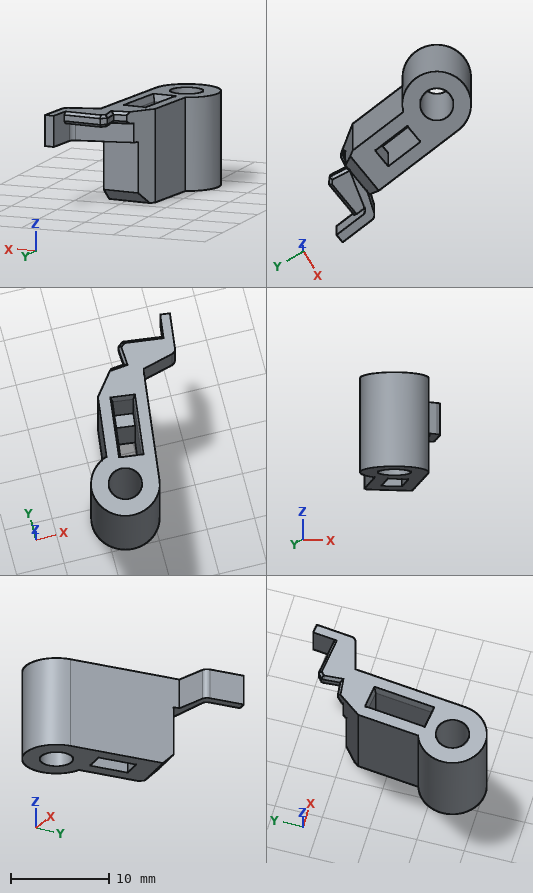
import cadquery as cq
import math

LENGTH = 20.5
HEIGHT = 9.75
ARM_TILT = 6.5

BARREL_RADIUS = 3.5
BORE_RADIUS = 1.7

ARM_WIDTH = 5.0
ARM_RIGHT = BARREL_RADIUS
ARM_LEFT = ARM_RIGHT - ARM_WIDTH
ARM_END = 11.53
END_CHAMFER = 1.2
SHOULDER_START = 9.76
SHOULDER_TIP = (0.27, 12.72)

FINGER_HEIGHT = 3.25
FINGER_WIDTH = 1.0
FINGER_RIGHT = 7.0
FINGER_LEFT = FINGER_RIGHT - FINGER_WIDTH
TILT = math.radians(ARM_TILT)
FINGER_TIP = (LENGTH - BARREL_RADIUS + FINGER_LEFT * math.sin(TILT)) / math.cos(TILT)
CRANK_ROOT = 12.15
CRANK_OUTER_CORNER = 13.52
CRANK_INNER_CORNER = 13.93
CRANK_INNER_ROOT_X = -0.18
CRANK_OUTER_FILLET = 0.7
CRANK_INNER_FILLET = 0.55

HOOK_HEIGHT = 1.25
HOOK_CHAMFER = 0.3
HOOK_NOTCH = (1.6, 13.02)
HOOK_SIDE_BEND = (1.3, 14.69)
HOOK_NOSE_SIDE = (1.3, 14.95)
HOOK_NOSE_X = 1.83
HOOK_END = 15.49

SLOT_WIDTH = 2.55
SLOT_START = 2.93
SLOT_LENGTH = 6.58
SLOT_LIP = 0.2
SLOT_LIP_DEPTH = 0.74
SLOT_FLOOR_DEPTH = HEIGHT / 2
WINDOW_START = 3.77
WINDOW_LENGTH = 4.18

SHOULDER_SLOPE = (SHOULDER_TIP[1] - SHOULDER_START) / (SHOULDER_TIP[0] - ARM_LEFT)


def shoulder_point(x=None, y=None):
    """Point on the slanted left shoulder at a given x or y."""
    if x is None:
        return (ARM_LEFT + (y - SHOULDER_START) / SHOULDER_SLOPE, y)
    return (x, SHOULDER_START + (x - ARM_LEFT) * SHOULDER_SLOPE)


def make_arm():
    outline = [
        (ARM_LEFT, 0),
        (ARM_RIGHT, 0),
        (ARM_RIGHT, ARM_END),
        shoulder_point(y=ARM_END),
        (ARM_LEFT, SHOULDER_START),
    ]
    arm = cq.Workplane("XY").polyline(outline).close().extrude(HEIGHT)
    arm = arm.faces(">Y").edges("<Z").chamfer(END_CHAMFER)
    return arm.union(cq.Workplane("XY").circle(BARREL_RADIUS).extrude(HEIGHT))


def make_finger():
    outer_corner = (FINGER_RIGHT, CRANK_OUTER_CORNER)
    inner_corner = (FINGER_LEFT, CRANK_INNER_CORNER)
    outline = [
        (ARM_LEFT, SHOULDER_START),
        (ARM_RIGHT, SHOULDER_START),
        (ARM_RIGHT, CRANK_ROOT),
        outer_corner,
        (FINGER_RIGHT, FINGER_TIP),
        (FINGER_LEFT, FINGER_TIP),
        inner_corner,
        shoulder_point(x=CRANK_INNER_ROOT_X),
    ]
    base = cq.Workplane("XY").workplane(offset=HEIGHT - FINGER_HEIGHT)
    finger = base.polyline(outline).close().extrude(FINGER_HEIGHT)
    for corner, radius in ((outer_corner, CRANK_OUTER_FILLET), (inner_corner, CRANK_INNER_FILLET)):
        point = (corner[0], corner[1], HEIGHT - FINGER_HEIGHT / 2)
        finger = finger.edges(cq.selectors.NearestToPointSelector(point)).fillet(radius)
    return finger


def make_hook():
    free_rim = [
        SHOULDER_TIP,
        HOOK_NOTCH,
        HOOK_SIDE_BEND,
        HOOK_NOSE_SIDE,
        (HOOK_NOSE_X, HOOK_END),
        (FINGER_LEFT + FINGER_WIDTH / 2, HOOK_END),
    ]
    buried_rim = [
        (FINGER_LEFT + FINGER_WIDTH / 2, CRANK_INNER_CORNER),
        (ARM_RIGHT, CRANK_ROOT),
        shoulder_point(x=CRANK_INNER_ROOT_X),
    ]
    base = cq.Workplane("XY").workplane(offset=HEIGHT - HOOK_HEIGHT)
    hook = base.polyline(free_rim + buried_rim).close().extrude(HOOK_HEIGHT)
    rim_edges = hook.newObject([])
    for start, end in zip(free_rim, free_rim[1:]):
        for z in (HEIGHT - HOOK_HEIGHT, HEIGHT):
            middle = ((start[0] + end[0]) / 2, (start[1] + end[1]) / 2, z)
            rim_edges = rim_edges.add(hook.edges(cq.selectors.NearestToPointSelector(middle)))
    return rim_edges.chamfer(HOOK_CHAMFER)


def slot_cutter():
    center_x = (ARM_LEFT + ARM_RIGHT) / 2
    center_y = SLOT_START + SLOT_LENGTH / 2
    inner_width = SLOT_WIDTH - 2 * SLOT_LIP
    inner_length = SLOT_LENGTH - 2 * SLOT_LIP
    top = cq.Workplane("XY", origin=(center_x, center_y, HEIGHT))
    lip = (
        top.rect(SLOT_WIDTH, SLOT_LENGTH)
        .workplane(offset=-SLOT_LIP_DEPTH)
        .rect(inner_width, inner_length)
        .loft(ruled=True)
    )
    pocket = top.rect(inner_width, inner_length).extrude(-SLOT_FLOOR_DEPTH)
    window_y = WINDOW_START + WINDOW_LENGTH / 2
    window = (
        cq.Workplane("XY", origin=(center_x, window_y, 0))
        .rect(inner_width, WINDOW_LENGTH)
        .extrude(HEIGHT)
    )
    return lip.union(pocket).union(window)


bore = cq.Workplane("XY").circle(BORE_RADIUS).extrude(HEIGHT)
body = make_arm().union(make_finger()).union(make_hook())
body = body.cut(slot_cutter()).cut(bore)
result = body.rotate((0, 0, 0), (0, 0, 1), -ARM_TILT)